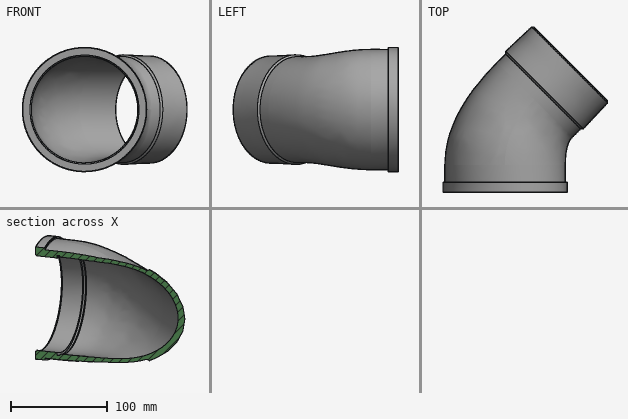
import cadquery as cq
import math

overall_length = 171.2
bend_angle = 45.0
body_start_y = 27.9
neck_start = 43.3
shoulder_start = 55.8
shoulder_end = 57.9
spigot_end = 96.2

flange_diameter = 129.0
flange_radius = flange_diameter / 2
socket_radius = 62.5
neck_radius = 55.0
shoulder_radius = 56.9
spigot_end_radius = 55.7

mouth_radius = 56.5
socket_bore_radius = 55.1
groove_radius = 57.9
bend_bore_radius = 56.3
spigot_bore_radius = 50.3

flange_thickness = 10.6
flange_chamfer = 0.5
mouth_chamfer = 1.7
groove_start_y = 24.0
groove_taper = 1.7
spigot_chamfer = 1.5

section_count = 9

turn = math.radians(bend_angle)
outlet_direction = cq.Vector(math.sin(turn), math.cos(turn), 0)
outlet_normal = cq.Vector(math.cos(turn), -math.sin(turn), 0)

spigot_reach = (spigot_end - spigot_chamfer) * math.cos(turn) + spigot_end_radius * math.sin(turn)
corner_y = overall_length - spigot_reach
bend_corner = cq.Vector(0, corner_y, 0)


def revolve_about_y(radius_and_y):
    """Solid of revolution about the Y axis from (radius, y) points."""
    axis_points = [(0, radius_and_y[-1][1]), (0, radius_and_y[0][1])]
    profile = cq.Workplane("XY").polyline(radius_and_y + axis_points).close()
    return profile.revolve(360, (0, 0, 0), (0, 1, 0))


def place_on_outlet(solid):
    """Move a solid from the Y axis to the outlet axis, with y = 0 at the bend corner."""
    return solid.rotate((0, 0, 0), (0, 0, 1), -bend_angle).translate(bend_corner)


def side_curve(side, start_radius, end_radius):
    """Quadratic curve along one side (-1 outside, +1 inside) of the bend, tangent at both ends."""
    start = cq.Vector(side * start_radius, body_start_y, 0)
    end = bend_corner + outlet_direction * neck_start + outlet_normal * (side * end_radius)
    back = (end.x - start.x) / outlet_direction.x
    control = end - outlet_direction * back

    def point(t):
        return start * (1 - t) ** 2 + control * (2 * t * (1 - t)) + end * t ** 2

    return point


def curved_body(start_radius, end_radius):
    """Loft through circles whose diameters span the two side curves."""
    outside = side_curve(-1, start_radius, end_radius)
    inside = side_curve(1, start_radius, end_radius)
    circles = []
    for i in range(section_count):
        t = i / (section_count - 1)
        diameter = inside(t) - outside(t)
        center = (inside(t) + outside(t)) * 0.5
        normal = cq.Vector(0, 0, 1).cross(diameter)
        circles.append(cq.Wire.makeCircle(diameter.Length / 2, center, normal))
    return cq.Workplane(obj=cq.Solid.makeLoft(circles))


def outer_solid():
    socket = revolve_about_y([
        (flange_radius - flange_chamfer, 0),
        (flange_radius, flange_chamfer),
        (flange_radius, flange_thickness - flange_chamfer),
        (flange_radius - flange_chamfer, flange_thickness),
        (socket_radius, flange_thickness),
        (socket_radius, body_start_y),
    ])
    spigot = revolve_about_y([
        (neck_radius, neck_start),
        (neck_radius, shoulder_start),
        (shoulder_radius, shoulder_end),
        (spigot_end_radius, spigot_end - spigot_chamfer),
        (spigot_end_radius - spigot_chamfer, spigot_end),
    ])
    return socket.union(curved_body(socket_radius, neck_radius)).union(place_on_outlet(spigot))


def bore_solid():
    socket_bore = revolve_about_y([
        (mouth_radius, 0),
        (socket_bore_radius, mouth_chamfer),
        (socket_bore_radius, groove_start_y),
        (groove_radius, groove_start_y),
        (groove_radius, body_start_y - groove_taper),
        (bend_bore_radius, body_start_y),
    ])
    spigot_bore = revolve_about_y([
        (spigot_bore_radius, neck_start),
        (spigot_bore_radius, spigot_end),
    ])
    bend_bore = curved_body(bend_bore_radius, spigot_bore_radius)
    return socket_bore.union(bend_bore).union(place_on_outlet(spigot_bore))


result = outer_solid().cut(bore_solid())